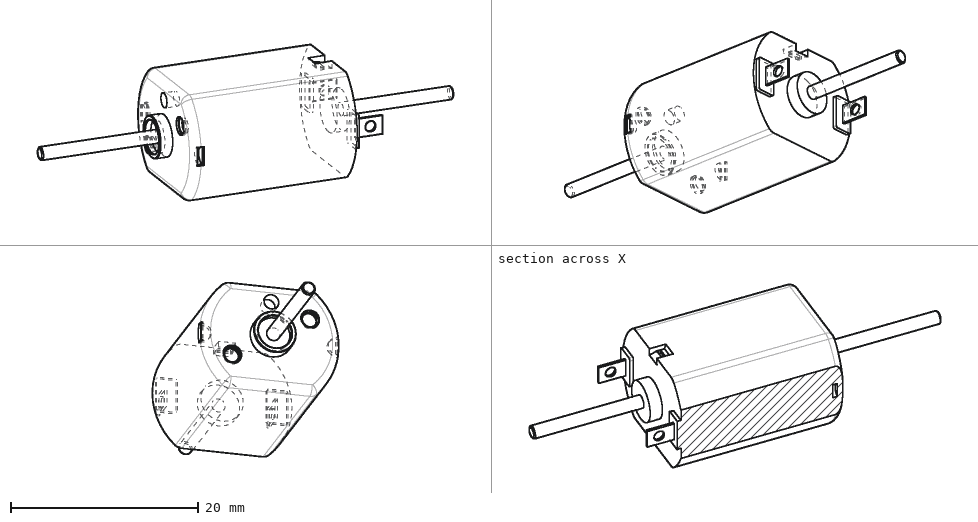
import cadquery as cq
import math


can_width = 15.5
can_height = 12.0
can_front = -9.5
can_rear = 9.65
long_edge_radius = 1.05
front_edge_radius = 0.95

shaft_length = 48.0
shaft_diameter = 1.5
shaft_chamfer = 0.15
boss_diameter = 4.7
boss_length = 1.45
recess_diameter = 3.7
recess_depth = 0.7
rim_chamfer = 0.07

screw_circle_radius = 5.0
screw_angle = 30.0
screw_diameter = 2.0
screw_counterbore_depth = 0.25
thread_diameter = 1.65
thread_depth = 0.6
vent_diameter = 1.65
vent_depth = 1.45
vent_height = 4.0

side_slot_rear = -8.15
side_slot_width = 0.75
side_slot_height = 2.1
side_slot_depth = 0.3
hollow_diameter = 1.9
hollow_width = 0.5

notch_width = 1.85
notch_length = 1.9
notch_floor_depth = 0.6
notch_mouth_depth = 0.85
notch_end_slope = 0.15
ramp_length = 0.85
groove_width = 1.65
groove_length = 0.45
groove_depth = 0.3

terminal_x = 6.15
base_width = 2.3
base_height = 3.85
base_thickness = 0.45
base_corner_radius = 0.25
blade_thickness = 0.3
blade_height = 2.1
blade_end = 13.25
blade_hole_diameter = 1.2
blade_hole_y = 11.85


def rod(diameter, start, end, x=0.0, z=0.0):
    """Cylinder parallel to Y, running from Y = start to Y = end."""
    return cq.Workplane("XZ", origin=(x, start, z)).circle(diameter / 2).extrude(start - end)


def block(width, length, height, center):
    """Box with sides along X, Y and Z about the given center."""
    return cq.Workplane("XY").box(width, length, height).translate(center)


def make_can():
    """Round body flattened at top and bottom, with rounded long and front edges."""
    length = can_rear - can_front
    middle = (can_rear + can_front) / 2
    body = rod(can_width, can_front, can_rear)
    body = body.intersect(block(can_width, length, can_height, (0, middle, 0)))
    body = body.edges("|Y").edges(">Z or <Z").fillet(long_edge_radius)
    return body.faces("<Y").edges().fillet(front_edge_radius)


def make_shaft():
    shaft = rod(shaft_diameter, -shaft_length / 2, shaft_length / 2)
    return shaft.faces("<Y or >Y").chamfer(shaft_chamfer)


def add_bosses(body):
    """Bearing bosses at both ends; the front rim is chamfered around a round recess."""
    boss_front = can_front - boss_length
    bosses = rod(boss_diameter, boss_front, can_rear + boss_length)
    bosses = bosses.cut(rod(recess_diameter, boss_front, boss_front + recess_depth))
    bosses = bosses.faces("<Y").chamfer(rim_chamfer)
    return body.union(bosses)


def cut_front_holes(body):
    for angle in (screw_angle, screw_angle + 180):
        x = screw_circle_radius * math.cos(math.radians(angle))
        z = screw_circle_radius * math.sin(math.radians(angle))
        body = body.cut(rod(screw_diameter, can_front, can_front + screw_counterbore_depth, x, z))
        body = body.cut(rod(thread_diameter, can_front, can_front + thread_depth, x, z))
    return body.cut(rod(vent_diameter, can_front, can_front + vent_depth, 0, vent_height))


def cut_side_slots(body):
    """Shallow slots at the widest points, each with a half-round hollow in its floor."""
    y = side_slot_rear - side_slot_width / 2
    for side in (-1, 1):
        center = (side * can_width / 2, y, 0)
        slot = block(2 * side_slot_depth, side_slot_width, side_slot_height, center)
        floor_x = side * (can_width / 2 - side_slot_depth)
        hollow = rod(hollow_diameter, y - hollow_width / 2, y + hollow_width / 2, floor_x)
        body = body.cut(slot).cut(hollow)
    return body


def cut_notch(body):
    """Notch open to the rear: a ramp down to the rear edge and a cross groove in its floor."""
    top = can_height / 2
    floor = top - notch_floor_depth
    ramp_start = can_rear - ramp_length
    notch_front = can_rear - notch_length
    side_profile = [
        (can_rear, top),
        (can_rear, top - notch_mouth_depth),
        (ramp_start, floor),
        (notch_front + notch_end_slope, floor),
        (notch_front, top),
    ]
    notch = cq.Workplane("YZ").polyline(side_profile).close().extrude(notch_width / 2, both=True)
    groove_center = (0, ramp_start - groove_length / 2, floor)
    groove = block(groove_width, groove_length, 2 * groove_depth, groove_center)
    return body.cut(notch).cut(groove)


def make_terminal(side):
    """Insulating base with a pierced blade standing on the rear face."""
    x = side * terminal_x
    base = block(base_width, base_thickness, base_height, (x, can_rear + base_thickness / 2, 0))
    base = base.edges("|Y").fillet(base_corner_radius)
    blade_length = blade_end - can_rear
    blade = block(blade_thickness, blade_length, blade_height, (x, can_rear + blade_length / 2, 0))
    hole = cq.Workplane("YZ", origin=(x, blade_hole_y, 0)).circle(blade_hole_diameter / 2)
    return base.union(blade.cut(hole.extrude(blade_thickness, both=True)))


result = make_can()
result = cut_front_holes(result)
result = cut_side_slots(result)
result = cut_notch(result)
result = add_bosses(result)
result = result.union(make_shaft())
for side in (-1, 1):
    result = result.union(make_terminal(side))